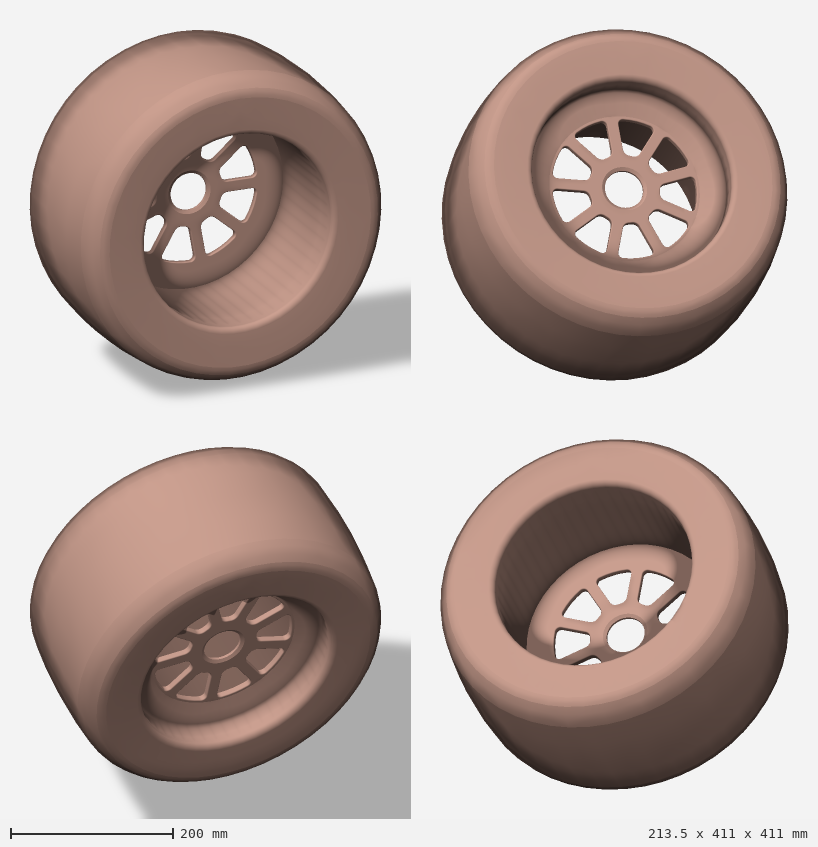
import cadquery as cq
import math


tyre_radius = 205.5
full_width = 213.5
half_width = full_width / 2
tread_half_width = 76.5
tread_edge_radius = 201.0
shoulder_half_width = 102.5
shoulder_radius = 186.5
sidewall_radius = 175.5
bead_half_width = 104.5
shoulder_rounding = 41.5
corner_rounding = 17.5
bead_rounding = 8.0

rim_radius = 125.5
disc_radius = 95.0
disc_face_x = -57.5
disc_thickness = 8.2
dish_depth = 10.0
dish_rounding = 4.0

bore_radius = 24.2
bore_chamfer_height = 4.0
bore_chamfer_depth = 2.5

spoke_count = 9
spoke_width = 14.5
window_inner_radius = 44.8
window_outer_radius = 91.0
window_inner_rounding = 9.0
window_outer_rounding = 6.0
window_edge_break = 1.2

face_tolerance = 0.05

disc_back_x = disc_face_x + disc_thickness
rim_edge_x = bead_half_width - bead_rounding
bead_radius = rim_radius + bead_rounding

sidewall_drop = half_width - bead_half_width
sidewall_height = sidewall_radius - bead_radius
sidewall_rounding = (sidewall_height**2 + sidewall_drop**2) / (2 * sidewall_drop)

dish_angle = math.atan2(dish_depth, rim_radius - disc_radius)
dish_end_x = disc_face_x - dish_depth
arc_tangent_length = dish_rounding * math.tan((math.pi / 2 - dish_angle) / 2)
arc_start = (dish_end_x - arc_tangent_length, rim_radius)
arc_end = (
    dish_end_x + arc_tangent_length * math.sin(dish_angle),
    rim_radius - arc_tangent_length * math.cos(dish_angle),
)


def make_wheel_body():
    """Revolve the whole section: tyre outside first, then back through barrel, disc and dish."""
    section = (
        cq.Workplane("XZ")
        .moveTo(-rim_edge_x, rim_radius)
        .radiusArc((-bead_half_width, bead_radius), bead_rounding)
        .radiusArc((-half_width, sidewall_radius), sidewall_rounding)
        .radiusArc((-shoulder_half_width, shoulder_radius), corner_rounding)
        .radiusArc((-tread_half_width, tread_edge_radius), shoulder_rounding)
        .threePointArc((0, tyre_radius), (tread_half_width, tread_edge_radius))
        .radiusArc((shoulder_half_width, shoulder_radius), shoulder_rounding)
        .radiusArc((half_width, sidewall_radius), corner_rounding)
        .radiusArc((bead_half_width, bead_radius), sidewall_rounding)
        .radiusArc((rim_edge_x, rim_radius), bead_rounding)
        .lineTo(disc_back_x, rim_radius)
        .lineTo(disc_back_x, bore_radius + bore_chamfer_height)
        .lineTo(disc_back_x - bore_chamfer_depth, bore_radius)
        .lineTo(disc_face_x + bore_chamfer_depth, bore_radius)
        .lineTo(disc_face_x, bore_radius + bore_chamfer_height)
        .lineTo(disc_face_x, disc_radius)
        .lineTo(*arc_end)
        .radiusArc(arc_start, -dish_rounding)
        .close()
    )
    return section.revolve(360, (0, 0, 0), (1, 0, 0))


def make_window_cutter():
    """Prism for the window centred on +Y, with rounded corners."""
    half_pitch = math.pi / spoke_count
    apex = spoke_width / 2 / math.sin(half_pitch)
    inner_half = (window_inner_radius - apex) * math.tan(half_pitch)
    side_angle = half_pitch - math.asin(spoke_width / 2 / window_outer_radius)
    outer_y = window_outer_radius * math.cos(side_angle)
    outer_z = window_outer_radius * math.sin(side_angle)
    prism = (
        cq.Workplane("YZ", origin=(disc_face_x, 0, 0))
        .moveTo(window_inner_radius, -inner_half)
        .lineTo(outer_y, -outer_z)
        .threePointArc((window_outer_radius, 0), (outer_y, outer_z))
        .lineTo(window_inner_radius, inner_half)
        .close()
        .extrude(disc_thickness)
    )
    prism = prism.edges("|X").edges("<Y").fillet(window_inner_rounding)
    return prism.edges("|X").edges(">Y").fillet(window_outer_rounding)


def cut_windows(wheel):
    window = make_window_cutter()
    pitch = 360 / spoke_count
    for index in range(spoke_count):
        wheel = wheel.cut(window.rotate((0, 0, 0), (1, 0, 0), 180 + index * pitch))
    return wheel


def is_window_rim(edge):
    """True for window edges on either disc face; full circles are centred on the axle and drop out."""
    centre = edge.Center()
    on_face = min(abs(centre.x - disc_face_x), abs(centre.x - disc_back_x)) < face_tolerance
    return on_face and math.hypot(centre.y, centre.z) > bore_radius


wheel = cut_windows(make_wheel_body())
result = wheel.edges().filter(is_window_rim).fillet(window_edge_break)